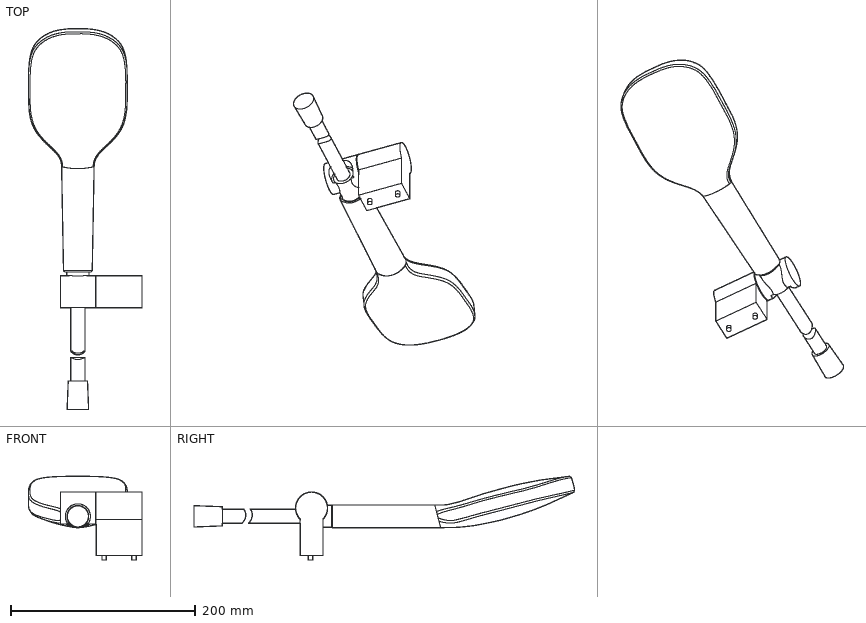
import cadquery as cq
import math


barrel_radius = 17.5
barrel_left = -18.9
bracket_left = 19.78
bracket_length = 50.0
barrel_right = bracket_left + bracket_length
joint_groove_width = 0.8
joint_groove_depth = 0.4
block_depth = 25.0
block_bottom = -51.8
screw_radius = 2.5
screw_spacing = 32.4
screw_y = -1.2
screw_bottom = -56.5

axis_z = -9.0
hose_radius = 7.75
cone_start_y = 21.4
cone_start_radius = 12.2
cone_end_y = -7.0
cone_end_radius = 11.4
socket_mouth_radius = 13.6
upper_hose_break_y = -66.6
lower_hose_break_y = -73.6
break_wave = 2.0
nut_start_y = -96.8
nut_start_radius = 10.6
nut_end_y = -127.88
nut_end_radius = 11.8

handle_end_y = cone_start_y
handle_end_half_width = 15.7
handle_end_ridge_x = 10.7
bend_y = 137.0
handle_bend_half_width = 17.8
handle_bend_ridge_x = 13.3
handle_half_height = 12.5
handle_ridge_z = 7.5
handle_end_chamfer = 1.5

head_tilt = 14.4
head_length = 151.4
head_half_width = 53.75
rim_top = 5.5
rim_bottom = -9.5
rim_chamfer = 1.8
lens_overhang = 1.5
wide = head_half_width + lens_overhang
head_shoulder = [(18.7, 6.0), (35.0, 25.9), (48.3, 44.0), (head_half_width, 87.0)]
head_corner = [(52.6, 116.0), (47.8, 132.0), (33.0, 145.5)]
lens_stations = [
    (0.0, 18.5, 12.9, 3.0, -3.0, -12.9),
    (16.0, 28.0, 9.6, 3.6, -8.5, -16.7),
    (47.0, 51.0, 11.1, rim_top, rim_bottom, -20.6),
    (78.0, wide, 12.2, rim_top, rim_bottom, -21.0),
    (115.0, wide, 10.8, rim_top, rim_bottom, -17.8),
    (head_length + lens_overhang, wide, 6.0, rim_top, rim_bottom, -11.0),
]


def turned(points):
    """Solid turned about the hose axis from (radius, y) points."""
    outline = [(0, points[0][1]), *points, (0, points[-1][1])]
    return (
        cq.Workplane("XY")
        .polyline(outline)
        .close()
        .revolve(360, (0, 0, 0), (0, 1, 0))
        .translate((0, 0, axis_z))
    )


def conical_nut():
    return turned([(cone_start_radius, cone_start_y), (cone_end_radius, cone_end_y)])


def hose_length(break_y, other_y):
    """Hose from a wavy broken end at break_y to a flat end at other_y."""
    top = axis_z + hose_radius
    bottom = axis_z - hose_radius
    half = hose_radius / 2
    side = (
        cq.Workplane("YZ")
        .moveTo(other_y, top)
        .lineTo(break_y, top)
        .spline([(break_y + break_wave, axis_z + half), (break_y - break_wave, bottom)], includeCurrent=True)
        .lineTo(other_y, bottom)
        .close()
        .extrude(hose_radius, both=True)
    )
    ends = sorted((break_y - 2 * break_wave, break_y + 2 * break_wave, other_y))
    rod = turned([(hose_radius, ends[0]), (hose_radius, ends[-1])])
    return rod.intersect(side)


def make_upper_hose():
    return conical_nut().union(hose_length(upper_hose_break_y, cone_end_y))


def make_lower_hose():
    nut = turned([(nut_end_radius, nut_end_y), (nut_start_radius, nut_start_y)])
    return nut.union(hose_length(lower_hose_break_y, nut_start_y))


def make_holder():
    barrel = (
        cq.Workplane("YZ", origin=(barrel_left, 0, 0))
        .circle(barrel_radius)
        .extrude(barrel_right - barrel_left)
    )
    groove = (
        cq.Workplane("YZ", origin=(bracket_left - joint_groove_width, 0, 0))
        .circle(barrel_radius)
        .circle(barrel_radius - joint_groove_depth)
        .extrude(joint_groove_width)
    )
    block = cq.Workplane("XY").box(bracket_length, block_depth, -block_bottom)
    bracket_middle = bracket_left + bracket_length / 2
    block = block.translate((bracket_middle, 0, block_bottom / 2))
    holder = barrel.cut(groove).union(block)
    for side in (-1, 1):
        screw = (
            cq.Workplane("XY", origin=(bracket_middle + side * screw_spacing / 2, screw_y, screw_bottom))
            .circle(screw_radius)
            .extrude(block_bottom - screw_bottom)
        )
        holder = holder.union(screw)
    mouth = turned([(socket_mouth_radius, -barrel_radius), (socket_mouth_radius, cone_end_y)])
    return holder.cut(conical_nut()).cut(mouth)


def handle_section(plane, half_width, ridge_x, stretch):
    """Closed handle outline: crowned top and bottom joined by bulging sides."""
    crown = handle_half_height * stretch
    ridge = handle_ridge_z * stretch
    return (
        cq.Workplane(plane)
        .moveTo(-ridge_x, ridge)
        .threePointArc((0, crown), (ridge_x, ridge))
        .threePointArc((half_width, 0), (ridge_x, -ridge))
        .threePointArc((0, -crown), (-ridge_x, -ridge))
        .threePointArc((-half_width, 0), (-ridge_x, ridge))
        .wire()
        .val()
    )


def make_handle():
    """Straight handle from a square end to the tilted plane where the head begins."""
    tilt = math.radians(head_tilt)
    end_plane = cq.Plane((0, handle_end_y, axis_z), (1, 0, 0), (0, -1, 0))
    bend_plane = cq.Plane((0, bend_y, axis_z), (1, 0, 0), (0, -math.cos(tilt), -math.sin(tilt)))
    sections = [
        handle_section(end_plane, handle_end_half_width, handle_end_ridge_x, 1),
        handle_section(bend_plane, handle_bend_half_width, handle_bend_ridge_x, 1 / math.cos(tilt)),
    ]
    handle = cq.Workplane(cq.Solid.makeLoft(sections, True))
    return handle.faces("<Y").chamfer(handle_end_chamfer)


def head_outline_prism():
    """Plan outline of the head, raised well past the lens on both sides."""
    rim_span = rim_top - rim_bottom
    right = [(handle_bend_half_width, 0), *head_shoulder, *head_corner]
    left = [(-x, y) for x, y in reversed(right)]
    return (
        cq.Workplane("XY", origin=(0, 0, -2 * rim_span))
        .moveTo(*right[0])
        .spline([*right[1:], (0, head_length), *left], includeCurrent=True)
        .close()
        .extrude(4 * rim_span)
    )


def lens_section(y, half_width, top, edge_top, edge_bottom, bottom):
    return (
        cq.Workplane("XZ", origin=(0, y, 0))
        .moveTo(-half_width, edge_top)
        .threePointArc((0, top), (half_width, edge_top))
        .lineTo(half_width, edge_bottom)
        .threePointArc((0, bottom), (-half_width, edge_bottom))
        .close()
        .val()
    )


def make_head():
    """Crowned face over a deeper belly, trimmed by the plan outline."""
    sections = [lens_section(*station) for station in lens_stations]
    lens = cq.Workplane(cq.Solid.makeLoft(sections))
    head = lens.intersect(head_outline_prism())
    rims = cq.selectors.BoxSelector((-1, 1, rim_bottom - 2), (1, head_length, rim_top + 2))
    head = head.edges(rims).chamfer(rim_chamfer)
    return head.rotate((0, 0, 0), (1, 0, 0), head_tilt).translate((0, bend_y, axis_z))


def make_hand_shower():
    return make_handle().union(make_head())


hand_shower = make_hand_shower()
holder = make_holder()
upper_hose = make_upper_hose()
lower_hose = make_lower_hose()

bodies = [hand_shower, holder, upper_hose, lower_hose]
result = cq.Compound.makeCompound([body.solids().val() for body in bodies])